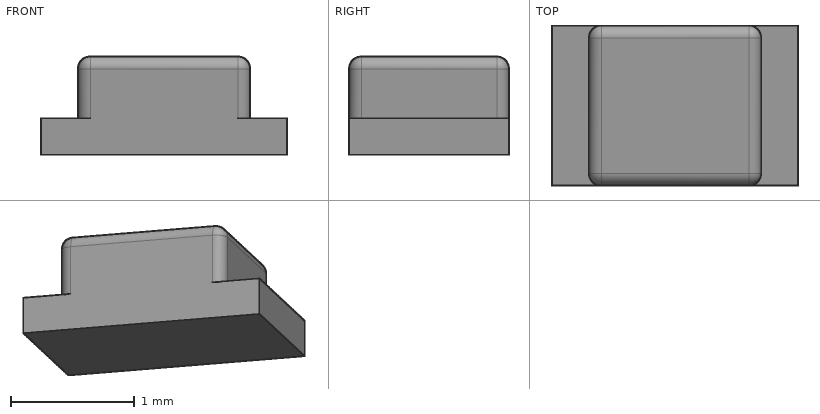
import cadquery as cq

base_length = 2.0
base_width = 1.3
base_height = 0.3

total_height = 0.8
body_length = 1.4
body_height = total_height - base_height
edge_radius = 0.1

from_bottom = (True, True, False)

base = cq.Workplane("XY").box(base_length, base_width, base_height, centered=from_bottom)

body = (
    cq.Workplane("XY")
    .workplane(offset=base_height)
    .box(body_length, base_width, body_height, centered=from_bottom)
    .edges("|Z or >Z")
    .fillet(edge_radius)
)

result = base.union(body)